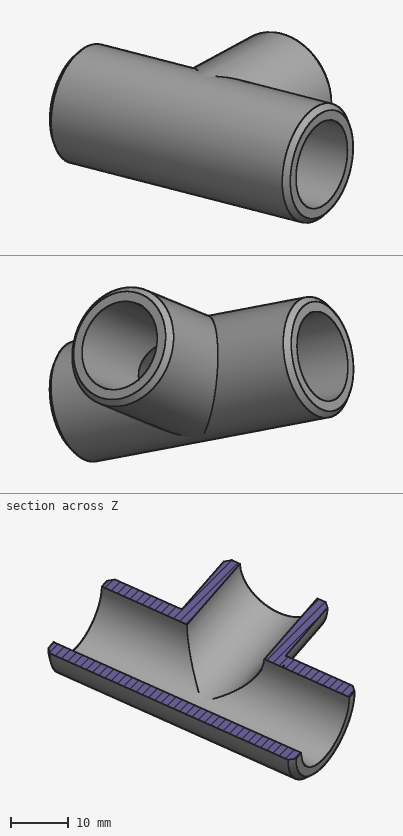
import cadquery as cq

outer_diameter = 21.34
bore_diameter = 15.8
center_to_end = 25.4
end_chamfer = 1.0

run_length = 2 * center_to_end


def run_cylinder(diameter):
    """Cylinder along X, centred on the origin."""
    return cq.Workplane("YZ").circle(diameter / 2).extrude(run_length / 2, both=True)


def branch_cylinder(diameter):
    """Cylinder along +Y, starting on the run axis."""
    return cq.Workplane("XZ").circle(diameter / 2).extrude(-center_to_end)


run = run_cylinder(outer_diameter).faces("<X or >X").edges().chamfer(end_chamfer)
branch = branch_cylinder(outer_diameter).faces(">Y").edges().chamfer(end_chamfer)

result = (
    run.union(branch)
    .cut(run_cylinder(bore_diameter))
    .cut(branch_cylinder(bore_diameter))
)